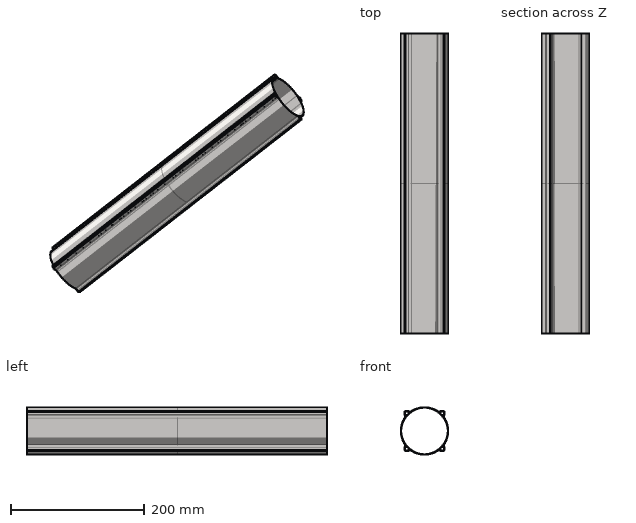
import cadquery as cq
import math

LENGTH = 450.0
TUBE_DIAMETER = 71.5
WALL = 1.12
BOSS_OFFSET = 26.5
BOSS_RADIUS = 4.0
SCREW_HOLE_RADIUS = 2.5
BLEND_RADIUS = 3.5
SLIT_WIDTH = 1.5

TUBE_RADIUS = TUBE_DIAMETER / 2
BORE_RADIUS = TUBE_RADIUS - WALL
BOSS_CENTERS = [(x * BOSS_OFFSET, z * BOSS_OFFSET) for x in (-1, 1) for z in (-1, 1)]


def rods(centers, radius):
    """Full-length rods along Y, centred on the origin, at the given (x, z) centres."""
    return cq.Workplane("XZ").pushPoints(centers).circle(radius).extrude(LENGTH / 2, both=True)


def blend_boss_roots(body):
    """Round the concave corners where the bosses meet the tube."""
    boss_distance = BOSS_OFFSET * math.sqrt(2)
    along = (boss_distance**2 + TUBE_RADIUS**2 - BOSS_RADIUS**2) / (2 * boss_distance)
    half_angle = math.acos(along / TUBE_RADIUS)
    corners = body.edges("|Y")
    root_edges = []
    for quarter in range(4):
        boss_angle = math.pi / 4 + quarter * math.pi / 2
        for side in (-1, 1):
            angle = boss_angle + side * half_angle
            root = (TUBE_RADIUS * math.cos(angle), 0, TUBE_RADIUS * math.sin(angle))
            root_edges.append(corners.edges(cq.selectors.NearestToPointSelector(root)).val())
    return body.newObject(root_edges).fillet(BLEND_RADIUS)


def boss_slits():
    """Narrow slits opening each screw channel along its boss, facing away from the tube."""
    slit_length = 2 * BOSS_RADIUS
    slits = cq.Workplane("XZ")
    for x, z in BOSS_CENTERS:
        sketch = cq.Workplane("XZ").center(x, z)
        sketch = sketch.transformed(rotate=(0, 0, math.degrees(math.atan2(z, x))))
        slit = sketch.center(slit_length / 2, 0).rect(slit_length, SLIT_WIDTH)
        slits = slits.add(slit.extrude(LENGTH / 2, both=True))
    return slits.combine()


body = rods([(0, 0)], TUBE_RADIUS).union(rods(BOSS_CENTERS, BOSS_RADIUS))
body = blend_boss_roots(body)
body = body.cut(rods([(0, 0)], BORE_RADIUS))
body = body.cut(rods(BOSS_CENTERS, SCREW_HOLE_RADIUS))
result = body.cut(boss_slits())